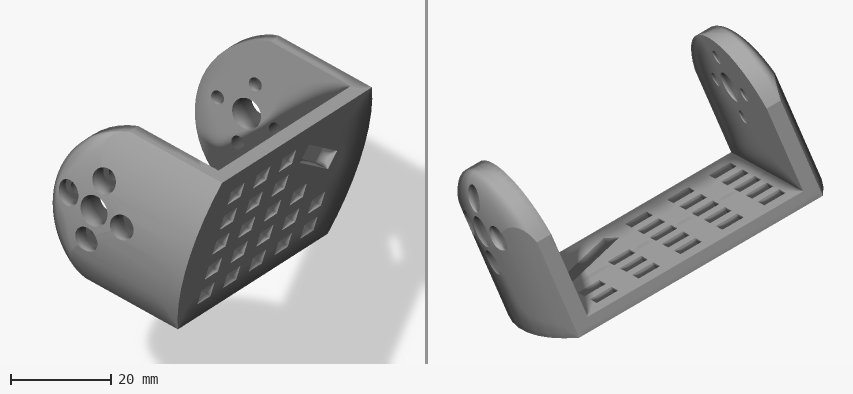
import cadquery as cq
import math

tilt_angle = 26.0

dome_radius = 34.1
half_width = 17.7
web_outer = 23.0
web_thickness = 3.0
web_inner = web_outer - web_thickness
cheek_inner = 25.8
cheek_thickness = 3.0

end_radius = 18.9
end_reach = 11.75
end_center = end_radius - end_reach
corner_x = end_center - math.sqrt(end_radius**2 - half_width**2)
rim_y = math.sqrt(dome_radius**2 - half_width**2)
crown_rise = dome_radius - rim_y

pivot_diameter = 6.7
screw_diameter = 3.0
screw_head_diameter = 5.5
screw_circle_radius = 7.0
screw_count = 4

groove_half_width = 1.35
groove_radius = math.hypot(web_inner, groove_half_width)

window_length = 5.1
window_height = 3.3
column_pitch = 10.0
row_pitch = 6.0
first_column_y = -20.9
first_row_z = -12.3
windows_per_row = (5, 5, 4, 3, 3)

slot_length = 16.25
slot_width = 4.1
slot_y = 13.5
slot_z = 7.1
slot_angle = 26.6


def box_between(x_range, y_range, z_range):
    sizes = [high - low for low, high in (x_range, y_range, z_range)]
    corner = (x_range[0], y_range[0], z_range[0])
    return cq.Workplane("XY").box(*sizes, centered=False).translate(corner)


def y_cylinder(radius, y_start, y_end, x=0.0, z=0.0):
    start = cq.Vector(x, y_start, z)
    return cq.Workplane(cq.Solid.makeCylinder(radius, y_end - y_start, start, cq.Vector(0, 1, 0)))


def side_outline_body():
    """Web and rounded cheek end outline, solid across the full length in Y."""
    return (
        cq.Workplane("XZ")
        .moveTo(web_outer, -half_width)
        .lineTo(corner_x, -half_width)
        .threePointArc((-end_reach, 0), (corner_x, half_width))
        .lineTo(web_outer, half_width)
        .close()
        .extrude(dome_radius, both=True)
    )


def crowned_envelope():
    """Cylinder along X whose ends over the cheek tips fall off as half ellipsoids."""
    cylinder = (
        cq.Workplane("YZ")
        .workplane(offset=-end_reach)
        .circle(dome_radius)
        .extrude(web_outer + end_reach)
    )
    web_side = box_between(
        (end_center, web_outer), (-dome_radius, dome_radius), (-dome_radius, dome_radius)
    )
    rounded_side = (
        cq.Workplane("XY")
        .moveTo(0, -dome_radius)
        .ellipseArc(end_radius, crown_rise, 270, 360, startAtCurrent=True)
        .lineTo(end_radius, rim_y)
        .ellipseArc(end_radius, crown_rise, 0, 90, startAtCurrent=True)
        .close()
        .revolve(360, (0, 0, 0), (0, 1, 0))
        .translate((end_center, 0, 0))
    )
    return cylinder.intersect(web_side.union(rounded_side))


def cut_cheek_holes(body):
    seat_y = cheek_inner + cheek_thickness
    body = body.cut(y_cylinder(pivot_diameter / 2, -dome_radius, dome_radius))
    for index in range(screw_count):
        angle = 2 * math.pi * index / screw_count
        x = screw_circle_radius * math.cos(angle)
        z = screw_circle_radius * math.sin(angle)
        body = body.cut(y_cylinder(screw_diameter / 2, -dome_radius, dome_radius, x, z))
        body = body.cut(y_cylinder(screw_head_diameter / 2, seat_y, dome_radius, x, z))
        body = body.cut(y_cylinder(screw_head_diameter / 2, -dome_radius, -seat_y, x, z))
    return body


def web_cutter(length, height):
    """Block that passes through the whole web, centred on Y and Z."""
    return box_between(
        (end_center, web_outer + web_thickness), (-length / 2, length / 2), (-height / 2, height / 2)
    )


def cut_web_openings(body):
    window = web_cutter(window_length, window_height)
    for row, count in enumerate(windows_per_row):
        for column in range(count):
            y = first_column_y + column * column_pitch
            z = first_row_z + row * row_pitch
            body = body.cut(window.translate((0, y, z)))
    slot = web_cutter(slot_length, slot_width).rotate((0, 0, 0), (1, 0, 0), -slot_angle)
    return body.cut(slot.translate((0, slot_y, slot_z)))


gap = box_between((-end_reach, web_inner), (-cheek_inner, cheek_inner), (-half_width, half_width))
bracket = side_outline_body().intersect(crowned_envelope()).cut(gap)
bracket = bracket.cut(y_cylinder(groove_radius, -cheek_inner, cheek_inner))
bracket = cut_cheek_holes(bracket)
bracket = cut_web_openings(bracket)

result = bracket.rotate((0, 0, 0), (1, 0, 0), -tilt_angle)